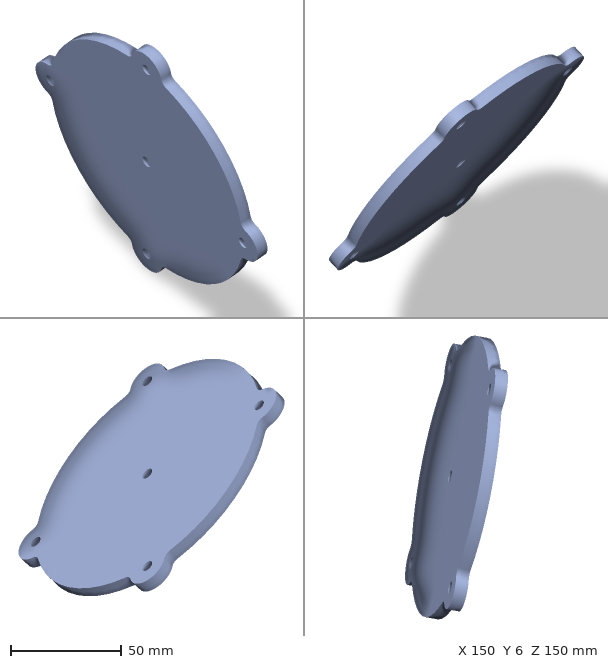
import cadquery as cq

overall_size = 150.0
thickness = 6.0
lug_radius = 10.0
hole_diameter = 5.5
blend_radius = 4.0
lug_count = 4

disc_radius = overall_size / 2 - lug_radius


def cylinder(radius):
    """Cylinder along Y, centred on the origin."""
    return cq.Workplane("XZ").circle(radius).extrude(thickness / 2, both=True)


def at_lugs(workplane):
    """Place points at the lug centres, spaced evenly around the rim."""
    return workplane.polarArray(disc_radius, 0, 360, lug_count)


lugs = at_lugs(cq.Workplane("XZ")).circle(lug_radius).extrude(thickness / 2, both=True)
plate = cylinder(disc_radius).union(lugs)

corner_x = lug_radius * (1 - (lug_radius / (2 * disc_radius)) ** 2) ** 0.5
corner_z = disc_radius - lug_radius**2 / (2 * disc_radius)
for x, z in ((corner_x, corner_z), (corner_z, corner_x)):
    for x_side in (-1, 1):
        for z_side in (-1, 1):
            corner = cq.selectors.NearestToPointSelector((x_side * x, 0, z_side * z))
            plate = plate.edges("|Y").edges(corner).fillet(blend_radius)

lug_holes = at_lugs(cq.Workplane("XZ")).circle(hole_diameter / 2).extrude(thickness / 2, both=True)
result = plate.cut(cylinder(hole_diameter / 2)).cut(lug_holes)